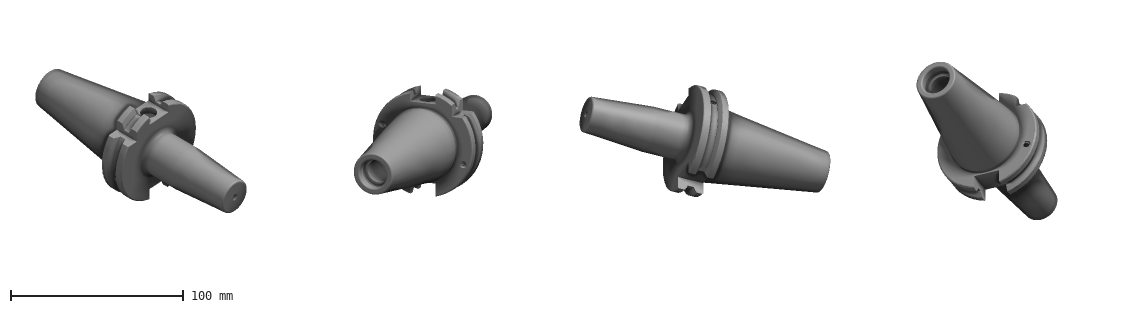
import cadquery as cq
import math

total_length = 148.4

gauge_x = 68.4
gauge_diameter = 44.5
taper_ratio = 7 / 24
tip_fillet = 1.0

neck_diameter = 43.8
neck_step = 0.5
neck_root_fillet = 0.3

flange_start = 71.5
flange_end = 87.5
flange_diameter = 63.4
flange_fillet = 0.9
groove_x = 79.4
groove_mouth_width = 7.4
groove_floor_width = 4.0
groove_floor_diameter = 56.7
groove_half_angle = 30.0

nose_diameter = 27.0
nose_straight_end = 110.1
nose_tip_diameter = 21.0
nose_root_fillet = 3.0
nose_tip_fillet = 1.2

slot_width = 16.0
upper_slot_height = 25.0
lower_slot_height = 22.7
notch_offset = 18.5
chip_hole_diameter = 10.0
chip_hole_depth = 4.6

guide_diameter = 17.0
guide_fillet = 1.0
guide_depth = 4.9
relief_diameter = 17.7
relief_start = 6.1
relief_end = 8.0
thread_diameter = 13.8
thread_depth = 26.7
drill_diameter = 13.5
drill_depth = 32.0
drill_half_angle = 59.0
through_diameter = 4.0

coolant_angle = 20.0
feed_radius = 27.2
feed_slant = 33.0
feed_mouth_diameter = 4.2
feed_mouth_depth = 2.1
feed_diameter = 3.3
plug_diameter = 4.0
plug_floor_radius = 27.2
channel_diameter = 2.5

gauge_radius = gauge_diameter / 2
tip_radius = gauge_radius - gauge_x * taper_ratio / 2
neck_radius = neck_diameter / 2
flange_radius = flange_diameter / 2
flange_width = flange_end - flange_start
nose_radius = nose_diameter / 2
nose_tip_radius = nose_tip_diameter / 2


def revolve_about_x(profile):
    """Turn a closed (x, radius) profile around the X axis."""
    return profile.revolve(360, (0, 0, 0), (1, 0, 0))


def turned_body():
    """Taper, neck, flange and nose as one turned solid."""
    outline = (
        cq.Workplane("XY")
        .moveTo(0, 0)
        .lineTo(0, tip_radius)
        .lineTo(gauge_x, gauge_radius)
        .lineTo(gauge_x + neck_step, neck_radius)
        .lineTo(flange_start - neck_root_fillet, neck_radius)
        .radiusArc((flange_start, neck_radius + neck_root_fillet), -neck_root_fillet)
        .lineTo(flange_start, flange_radius - flange_fillet)
        .radiusArc((flange_start + flange_fillet, flange_radius), flange_fillet)
        .lineTo(flange_end - flange_fillet, flange_radius)
        .radiusArc((flange_end, flange_radius - flange_fillet), flange_fillet)
        .lineTo(flange_end, nose_radius + nose_root_fillet)
        .radiusArc((flange_end + nose_root_fillet, nose_radius), -nose_root_fillet)
        .lineTo(nose_straight_end, nose_radius)
        .lineTo(total_length, nose_tip_radius)
        .lineTo(total_length, 0)
        .close()
    )
    body = revolve_about_x(outline)
    body = body.faces("<X").edges().fillet(tip_fillet)
    return body.faces(">X").edges().fillet(nose_tip_fillet)


def gripper_groove():
    """Ring with sloped upper walls and a straight-sided floor."""
    half_mouth = groove_mouth_width / 2
    half_floor = groove_floor_width / 2
    slope_depth = (half_mouth - half_floor) / math.tan(math.radians(groove_half_angle))
    slope_end_radius = flange_radius - slope_depth
    floor_radius = groove_floor_diameter / 2
    outline = cq.Workplane("XY").polyline([
        (groove_x - half_mouth, flange_radius),
        (groove_x - half_floor, slope_end_radius),
        (groove_x - half_floor, floor_radius),
        (groove_x + half_floor, floor_radius),
        (groove_x + half_floor, slope_end_radius),
        (groove_x + half_mouth, flange_radius),
    ]).close()
    return revolve_about_x(outline)


def flange_cutter(y_center, y_width, z_bottom):
    """Block as long as the flange that removes everything above z_bottom."""
    return (
        cq.Workplane("XY", origin=(flange_start, y_center, z_bottom))
        .box(flange_width, y_width, flange_radius, centered=(False, True, False))
    )


def flange_cuts():
    """Two drive slots, the orientation notch and the chip pocket."""
    upper_slot = flange_cutter(0, slot_width, upper_slot_height)
    lower_slot = flange_cutter(0, slot_width, lower_slot_height).mirror("XY")
    notch = flange_cutter(-notch_offset - flange_radius / 2, flange_radius, notch_offset)
    chip_hole = (
        cq.Workplane("XY", origin=(groove_x, 0, upper_slot_height))
        .circle(chip_hole_diameter / 2)
        .extrude(-chip_hole_depth)
    )
    return upper_slot.union(lower_slot).union(notch).union(chip_hole)


def center_bore():
    """Stepped bore with a drill-point cone leading into the through hole."""
    guide_radius = guide_diameter / 2
    relief_radius = relief_diameter / 2
    thread_radius = thread_diameter / 2
    drill_radius = drill_diameter / 2
    through_radius = through_diameter / 2
    cone_length = (drill_radius - through_radius) / math.tan(math.radians(drill_half_angle))
    outline = (
        cq.Workplane("XY")
        .moveTo(0, 0)
        .lineTo(0, guide_radius + guide_fillet)
        .radiusArc((guide_fillet, guide_radius), -guide_fillet)
        .lineTo(guide_depth, guide_radius)
        .lineTo(relief_start, relief_radius)
        .lineTo(relief_end, relief_radius)
        .lineTo(relief_end, thread_radius)
        .lineTo(thread_depth, thread_radius)
        .lineTo(thread_depth, drill_radius)
        .lineTo(drill_depth, drill_radius)
        .lineTo(drill_depth + cone_length, through_radius)
        .lineTo(total_length, through_radius)
        .lineTo(total_length, 0)
        .close()
    )
    return revolve_about_x(outline)


def drilled(start, direction, diameter, length):
    """Cylinder running from a point along a direction."""
    cylinder = cq.Solid.makeCylinder(diameter / 2, length, cq.Vector(*start), cq.Vector(*direction))
    return cq.Workplane(cylinder)


def coolant_hole():
    """Slanted stepped feed from the flange face to a stepped radial hole in the groove."""
    slant = math.radians(feed_slant)
    inward = (math.cos(slant), -math.sin(slant), 0)
    outward = (-math.cos(slant), math.sin(slant), 0)
    feed_start = (flange_start, feed_radius, 0)
    feed_length = (groove_x - flange_start) / math.cos(slant)
    feed = drilled(feed_start, inward, feed_diameter, feed_length)
    feed_mouth = drilled(feed_start, inward, feed_mouth_diameter, feed_mouth_depth)
    mouth_clearance = drilled(feed_start, outward, feed_mouth_diameter, feed_mouth_diameter)
    plug_length = flange_radius - plug_floor_radius
    plug = drilled((groove_x, plug_floor_radius, 0), (0, 1, 0), plug_diameter, plug_length)
    channel = drilled((groove_x, 0, 0), (0, 1, 0), channel_diameter, flange_radius)
    return feed.union(feed_mouth).union(mouth_clearance).union(plug).union(channel)


result = turned_body().cut(gripper_groove()).cut(flange_cuts()).cut(center_bore())
for side_angle in (coolant_angle, coolant_angle + 180):
    result = result.cut(coolant_hole().rotate((0, 0, 0), (1, 0, 0), side_angle))